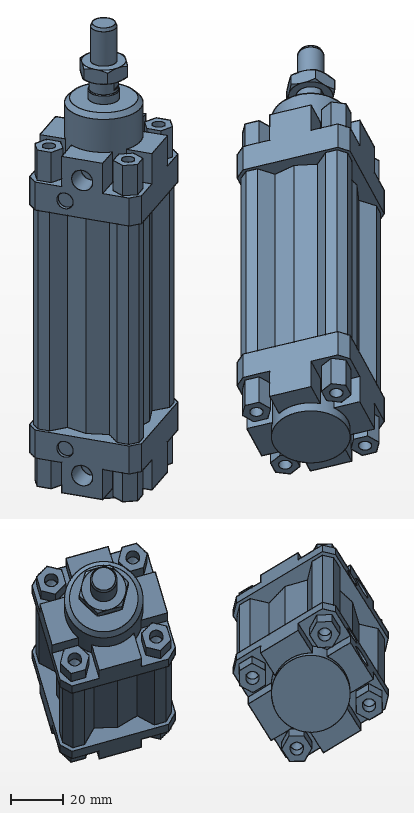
import cadquery as cq
import math

TOTAL_LENGTH = 196.0
CAP_SIDE = 46.0
CAP_HEIGHT = 24.9
CAP_CORNER_CHAMFER = 3.7
REAR_BOSS_HEIGHT = 4.1
HEX_SIDES = 6

REAR_CAP_BOTTOM = REAR_BOSS_HEIGHT
REAR_CAP_TOP = REAR_CAP_BOTTOM + CAP_HEIGHT
FRONT_CAP_TOP = 148.0
FRONT_CAP_BOTTOM = FRONT_CAP_TOP - CAP_HEIGHT
COLLAR_TOP = 164.0

COLLAR_RADIUS = 15.0
COLLAR_CHAMFER = 2.0

POCKET_DEPTH = 13.0
RIB_HALF_WIDTH = 8.5
TIE_ROD_OFFSET = 16.3
TIE_NUT_FLATS = 10.0
TIE_HOLE_RADIUS = 2.5
TIE_HOLE_DEPTH = 9.8
DRILL_TIP_ANGLE = 118.0

PORT_RADIUS = 4.3
PORT_OFFSET = 16.0
PORT_DEPTH = 9.8
SCREW_HOLE_RADIUS = 3.3
SCREW_HOLE_X = -7.0
SCREW_HOLE_OFFSET = 6.0
SCREW_HOLE_DEPTH = 1.5

TUBE_HALF_SIDE = 21.8
TUBE_CORNER_CHAMFER = 3.1
GROOVE_MOUTH_HALF = 14.0
GROOVE_FLOOR_HALF = 8.6
GROOVE_DEPTH = GROOVE_MOUTH_HALF - GROOVE_FLOOR_HALF
RIDGE_HEIGHT = 2.4

ROD_RADIUS = 6.0
NECK_RADIUS = 5.7
THREAD_RADIUS = 5.0
THREAD_END_CHAMFER_RADIAL = 0.5
THREAD_END_CHAMFER_AXIAL = 1.4
SHOULDER_Z = 168.0
SHOULDER_CHAMFER = ROD_RADIUS - NECK_RADIUS
FLAT_BOTTOM = 169.1

NUT_FLATS = 17.0
NUT_HEIGHT = 6.0
NUT_BOTTOM = 173.9
NUT_CHAMFER_ANGLE = 30.0


def across_corners(flats):
    """Corner-to-corner size of a hexagon from its across-flats size."""
    return flats / math.cos(math.pi / HEX_SIDES)


def tie_nut(x, y, turn):
    """Hexagonal tie-rod nut standing on a pocket floor, flush with the cap's outer face."""
    return (
        cq.Workplane("XY")
        .polygon(HEX_SIDES, across_corners(TIE_NUT_FLATS))
        .extrude(POCKET_DEPTH)
        .rotate((0, 0, 0), (0, 0, 1), turn)
        .translate((x, y, CAP_HEIGHT - POCKET_DEPTH))
    )


def tie_hole(x, y):
    """Cutter for the drilled, cone-ended hole in a tie-rod nut."""
    cone_top = CAP_HEIGHT - TIE_HOLE_DEPTH
    cone_height = TIE_HOLE_RADIUS / math.tan(math.radians(DRILL_TIP_ANGLE / 2))
    return (
        cq.Workplane("XZ")
        .polyline(
            [
                (0, CAP_HEIGHT),
                (TIE_HOLE_RADIUS, CAP_HEIGHT),
                (TIE_HOLE_RADIUS, cone_top),
                (0, cone_top - cone_height),
            ]
        )
        .close()
        .revolve(360, (0, 0), (0, 1))
        .translate((x, y, 0))
    )


def face_hole(x, z, radius, depth):
    """Cutter for a flat-bottomed round hole in the -Y face of a cap."""
    return cq.Workplane("XZ", origin=(x, -CAP_SIDE / 2, z)).circle(radius).extrude(-depth)


def end_cap():
    """End cap with its tube face at Z = 0 and its outer face at Z = CAP_HEIGHT."""
    cap = (
        cq.Workplane("XY")
        .rect(CAP_SIDE, CAP_SIDE)
        .extrude(CAP_HEIGHT)
        .edges("|Z")
        .chamfer(CAP_CORNER_CHAMFER)
    )
    pocket_side = CAP_SIDE / 2 - RIB_HALF_WIDTH
    pocket_centre = RIB_HALF_WIDTH + pocket_side / 2
    pockets = (
        cq.Workplane("XY")
        .workplane(offset=CAP_HEIGHT - POCKET_DEPTH)
        .rect(2 * pocket_centre, 2 * pocket_centre, forConstruction=True)
        .vertices()
        .rect(pocket_side, pocket_side)
        .extrude(POCKET_DEPTH)
    )
    core = cq.Workplane("XY").circle(COLLAR_RADIUS).extrude(CAP_HEIGHT)
    cap = cap.cut(pockets).union(core)
    for sign_x in (-1, 1):
        for sign_y in (-1, 1):
            x = sign_x * TIE_ROD_OFFSET
            y = sign_y * TIE_ROD_OFFSET
            turn = 0 if sign_x == sign_y else 90
            cap = cap.union(tie_nut(x, y, turn)).cut(tie_hole(x, y))
    cap = cap.cut(face_hole(0, PORT_OFFSET, PORT_RADIUS, PORT_DEPTH))
    return cap.cut(face_hole(SCREW_HOLE_X, SCREW_HOLE_OFFSET, SCREW_HOLE_RADIUS, SCREW_HOLE_DEPTH))


def grooved_tube():
    """Tube between the caps: chamfered square with a ridged groove along each side."""
    corner = TUBE_HALF_SIDE - TUBE_CORNER_CHAMFER
    floor = TUBE_HALF_SIDE - GROOVE_DEPTH
    side = [
        (-corner, -TUBE_HALF_SIDE),
        (-GROOVE_MOUTH_HALF, -TUBE_HALF_SIDE),
        (-GROOVE_FLOOR_HALF, -floor),
        (0, -floor - RIDGE_HEIGHT),
        (GROOVE_FLOOR_HALF, -floor),
        (GROOVE_MOUTH_HALF, -TUBE_HALF_SIDE),
        (corner, -TUBE_HALF_SIDE),
    ]
    outline = []
    for _ in range(4):
        outline += side
        side = [(-y, x) for x, y in side]
    return (
        cq.Workplane("XY")
        .workplane(offset=REAR_CAP_TOP)
        .polyline(outline)
        .close()
        .extrude(FRONT_CAP_BOTTOM - REAR_CAP_TOP)
    )


def make_housing():
    """Tube, both end caps, front collar and rear boss as one body."""
    front_cap = end_cap().translate((0, 0, FRONT_CAP_BOTTOM))
    rear_cap = end_cap().mirror("XY").translate((0, 0, REAR_CAP_TOP))
    collar = (
        cq.Workplane("XY")
        .workplane(offset=FRONT_CAP_TOP)
        .circle(COLLAR_RADIUS)
        .extrude(COLLAR_TOP - FRONT_CAP_TOP)
        .faces(">Z")
        .chamfer(COLLAR_CHAMFER)
    )
    boss = cq.Workplane("XY").circle(COLLAR_RADIUS).extrude(REAR_BOSS_HEIGHT)
    return grooved_tube().union(front_cap).union(rear_cap).union(collar).union(boss)


def make_rod():
    """Piston rod standing on the collar: shoulder, neck with two wrench flats, and threaded end."""
    rod = (
        cq.Workplane("XZ")
        .polyline(
            [
                (0, COLLAR_TOP),
                (ROD_RADIUS, COLLAR_TOP),
                (ROD_RADIUS, SHOULDER_Z - SHOULDER_CHAMFER),
                (NECK_RADIUS, SHOULDER_Z),
                (NECK_RADIUS, NUT_BOTTOM),
                (THREAD_RADIUS, NUT_BOTTOM),
                (THREAD_RADIUS, TOTAL_LENGTH - THREAD_END_CHAMFER_AXIAL),
                (THREAD_RADIUS - THREAD_END_CHAMFER_RADIAL, TOTAL_LENGTH),
                (0, TOTAL_LENGTH),
            ]
        )
        .close()
        .revolve(360, (0, 0), (0, 1))
    )
    flat_depth = NECK_RADIUS - THREAD_RADIUS
    for sign_x in (-1, 1):
        flat = (
            cq.Workplane("XY", origin=(sign_x * (THREAD_RADIUS + flat_depth / 2), 0, FLAT_BOTTOM))
            .rect(flat_depth, 2 * NECK_RADIUS)
            .extrude(NUT_BOTTOM - FLAT_BOTTOM)
        )
        rod = rod.cut(flat)
    return rod


def make_rod_nut():
    """Hexagonal nut on the thread, its corners chamfered by a cone at both ends."""
    flat_radius = NUT_FLATS / 2
    corner_radius = across_corners(NUT_FLATS) / 2
    chamfer_height = (corner_radius - flat_radius) * math.tan(math.radians(NUT_CHAMFER_ANGLE))
    envelope = (
        cq.Workplane("XZ")
        .polyline(
            [
                (0, 0),
                (flat_radius, 0),
                (corner_radius, chamfer_height),
                (corner_radius, NUT_HEIGHT - chamfer_height),
                (flat_radius, NUT_HEIGHT),
                (0, NUT_HEIGHT),
            ]
        )
        .close()
        .revolve(360, (0, 0), (0, 1))
    )
    nut = cq.Workplane("XY").polygon(HEX_SIDES, 2 * corner_radius).extrude(NUT_HEIGHT).intersect(envelope)
    bore = cq.Workplane("XY").circle(THREAD_RADIUS).extrude(NUT_HEIGHT)
    return nut.cut(bore).translate((0, 0, NUT_BOTTOM))


housing = make_housing()
rod = make_rod()
rod_nut = make_rod_nut()

result = cq.Compound.makeCompound([housing.val(), rod.val(), rod_nut.val()])